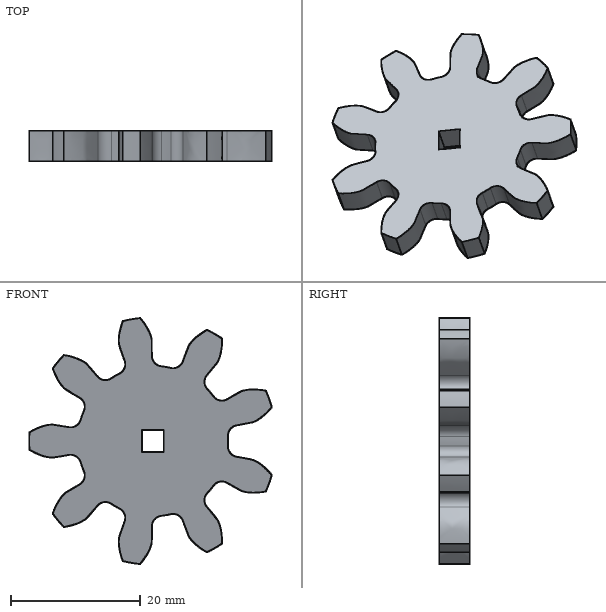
import cadquery as cq
import math

tooth_count = 9
thickness = 4.75
outer_diameter = 38.3
base_diameter = 31.15
root_diameter = 23.3
base_tooth_angle = 18.9
root_fillet = 1.6
bore_side = 3.35
flank_samples = 6

outer_radius = outer_diameter / 2
base_radius = base_diameter / 2
root_radius = root_diameter / 2
tip_pressure_angle = math.acos(base_radius / outer_radius)
pitch_angle = 2 * math.pi / tooth_count
base_half_angle = math.radians(base_tooth_angle) / 2

fillet_center_radius = root_radius + root_fillet
fillet_span = math.asin(root_fillet / fillet_center_radius)
fillet_center_angle = base_half_angle + fillet_span
flank_foot_radius = fillet_center_radius * math.cos(fillet_span)


def polar(radius, angle):
    return (radius * math.cos(angle), radius * math.sin(angle))


def half_angle(radius):
    """Half the angle filled by a tooth at a radius on its involute flank."""
    pressure_angle = math.acos(base_radius / radius)
    return base_half_angle - (math.tan(pressure_angle) - pressure_angle)


def fillet_middle(side):
    """Middle point of the root fillet on one side (-1 or 1) of a tooth at angle zero."""
    center = polar(fillet_center_radius, fillet_center_angle)
    toward_root = fillet_center_angle + math.pi
    toward_flank = base_half_angle + 3 * math.pi / 2
    offset = polar(root_fillet, (toward_root + toward_flank) / 2)
    return (center[0] + offset[0], side * (center[1] + offset[1]))


def rotated(point, angle):
    return polar(math.hypot(*point), math.atan2(point[1], point[0]) + angle)


def add_tooth(outline, axis):
    """Add one tooth, from its first root fillet to the start of the next tooth."""
    radii = [
        base_radius + (outer_radius - base_radius) * (i / flank_samples) ** 2
        for i in range(flank_samples + 1)
    ]
    foot_start = polar(flank_foot_radius, axis - base_half_angle)
    foot_end = polar(flank_foot_radius, axis + base_half_angle)
    rising_flank = [polar(r, axis - half_angle(r)) for r in radii]
    falling_flank = [polar(r, axis + half_angle(r)) for r in reversed(radii)]
    rising_tangents = [
        polar(1, axis - base_half_angle),
        polar(1, axis - half_angle(outer_radius) + tip_pressure_angle),
    ]
    falling_tangents = [
        polar(-1, axis + half_angle(outer_radius) - tip_pressure_angle),
        polar(-1, axis + base_half_angle),
    ]
    next_tooth_start = axis + pitch_angle - fillet_center_angle
    return (
        outline
        .threePointArc(rotated(fillet_middle(-1), axis), foot_start)
        .spline(rising_flank, tangents=rising_tangents, includeCurrent=True)
        .threePointArc(polar(outer_radius, axis), falling_flank[0])
        .spline(falling_flank[1:] + [foot_end], tangents=falling_tangents, includeCurrent=True)
        .threePointArc(rotated(fillet_middle(1), axis), polar(root_radius, axis + fillet_center_angle))
        .threePointArc(polar(root_radius, axis + pitch_angle / 2), polar(root_radius, next_tooth_start))
    )


first_axis = math.pi
back_face = cq.Workplane("XZ", origin=(0, thickness / 2, 0))
outline = back_face.moveTo(*polar(root_radius, first_axis - fillet_center_angle))
for tooth in range(tooth_count):
    outline = add_tooth(outline, first_axis + tooth * pitch_angle)
gear = outline.close().extrude(thickness)

bore = cq.Workplane("XZ").rect(bore_side, bore_side).extrude(thickness, both=True)
result = gear.cut(bore)